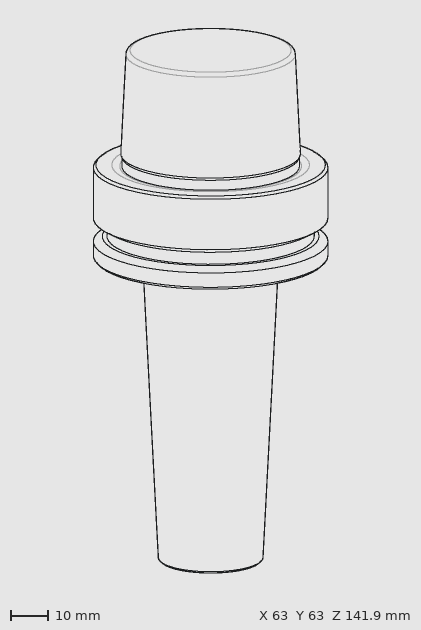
import cadquery as cq
import math

total_height = 141.9
taper_height = 31.9
flange_height = 26.0
flange_top = total_height - taper_height
flange_bottom = flange_top - flange_height

taper_top_radius = 22.7
taper_base_radius = 24.1
taper_top_fillet = 1.1
neck_radius = 23.8
neck_height = 2.4
neck_bevel_height = 0.7
neck_bevel_top = flange_top + neck_height

flange_radius = 31.5
flange_chamfer = 0.7
face_relief_radius = 26.5
face_relief_depth = 0.35
face_relief_floor_radius = 24.4
groove_radius = 27.8
groove_floor_top = flange_top - 16.2
groove_floor_bottom = flange_top - 19.9
groove_shoulder_radius = 29.1
groove_flank_angle = math.radians(30)
groove_flank_drop = (flange_radius - groove_shoulder_radius) * math.tan(groove_flank_angle)

shank_top_radius = 18.3
shank_tip_radius = 14.0
tip_chamfer = 0.5
root_fillet = 3.0


def revolve_profile(points):
    """Revolve a closed outline of (radius, height) points about Z."""
    return cq.Workplane("XZ").polyline(points).close().revolve(360, (0, 0), (0, 1))


def make_taper():
    taper = revolve_profile([
        (0, flange_top - face_relief_depth),
        (neck_radius, flange_top - face_relief_depth),
        (neck_radius, neck_bevel_top),
        (taper_base_radius, neck_bevel_top + neck_bevel_height),
        (taper_top_radius, total_height),
        (0, total_height),
    ])
    return taper.faces(">Z").edges().fillet(taper_top_fillet)


def make_flange():
    flange = (
        cq.Workplane("XY")
        .workplane(offset=flange_bottom)
        .circle(flange_radius)
        .extrude(flange_height)
        .edges()
        .chamfer(flange_chamfer)
    )
    groove = revolve_profile([
        (groove_radius, groove_floor_bottom),
        (groove_shoulder_radius, groove_floor_bottom),
        (flange_radius, groove_floor_bottom - groove_flank_drop),
        (flange_radius, groove_floor_top + groove_flank_drop),
        (groove_shoulder_radius, groove_floor_top),
        (groove_radius, groove_floor_top),
    ])
    face_relief = revolve_profile([
        (0, flange_top - face_relief_depth),
        (face_relief_floor_radius, flange_top - face_relief_depth),
        (face_relief_radius, flange_top),
        (0, flange_top),
    ])
    return flange.cut(groove).cut(face_relief)


def make_shank():
    shank = revolve_profile([
        (0, 0),
        (shank_tip_radius, 0),
        (shank_top_radius, flange_bottom),
        (0, flange_bottom),
    ])
    return shank.faces("<Z").edges().chamfer(tip_chamfer)


body = make_flange().union(make_taper()).union(make_shank())
underside_zone = cq.selectors.BoxSelector(
    (-flange_radius, -flange_radius, flange_bottom - root_fillet),
    (flange_radius, flange_radius, flange_bottom + flange_chamfer / 2),
    boundingbox=True,
)
smallest_circle = cq.selectors.RadiusNthSelector(0)
result = body.edges(underside_zone).edges("%CIRCLE").edges(smallest_circle).fillet(root_fillet)